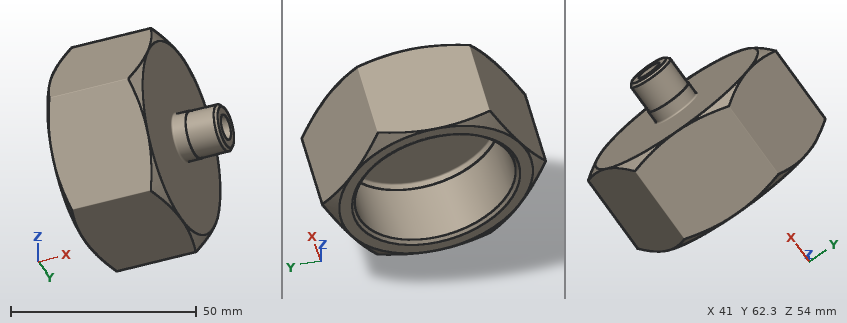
import cadquery as cq
import math

nut_length = 28.0
across_rounded_corners = 62.25
corner_rounding = 0.25
face_diameter = 53.9
corner_chamfer_angle = 30.0

thread_diameter = 44.8
relief_diameter = 45.0
relief_length = 2.0
bore_depth = 20.5
bore_mouth_diameter = 46.8
bore_mouth_angle = 45.0
bore_bottom_fillet = 0.5

collar_diameter = 13.4
collar_length = 4.0
stub_diameter = 13.15
stub_length = 13.0
stub_chamfer = 0.8
collar_root_fillet = 0.5

hole_diameter = 7.0
hole_chamfer = 0.5


def cylinder(diameter, start, length):
    """Solid cylinder on the X axis, beginning at X = start."""
    return cq.Workplane("YZ", origin=(start, 0, 0)).circle(diameter / 2).extrude(length)


def revolve_about_x(profile):
    """Revolve a closed (x, radius) outline about the X axis."""
    return cq.Workplane("XY").polyline(profile).close().revolve(360, (0, 0, 0), (1, 0, 0))


def hex_body():
    """Hexagon with corners on +/-Y, long edges rounded and both ends chamfered."""
    lost_at_corner = corner_rounding * (1 / math.cos(math.pi / 6) - 1)
    sharp_corner_diameter = across_rounded_corners + 2 * lost_at_corner
    hexagon = cq.Workplane("YZ").polygon(6, sharp_corner_diameter).extrude(nut_length)
    hexagon = hexagon.edges("|X").fillet(corner_rounding)

    corner_radius = sharp_corner_diameter / 2
    face_radius = face_diameter / 2
    chamfer_length = (corner_radius - face_radius) * math.tan(math.radians(corner_chamfer_angle))
    envelope = revolve_about_x([
        (0, 0),
        (0, face_radius),
        (chamfer_length, corner_radius),
        (nut_length - chamfer_length, corner_radius),
        (nut_length, face_radius),
        (nut_length, 0),
    ])
    return hexagon.intersect(envelope)


def bore():
    """Blind bore with a chamfered mouth and a rounded relief at the bottom."""
    thread_radius = thread_diameter / 2
    mouth_radius = bore_mouth_diameter / 2
    mouth_depth = (mouth_radius - thread_radius) / math.tan(math.radians(bore_mouth_angle))
    thread = revolve_about_x([
        (0, 0),
        (0, mouth_radius),
        (mouth_depth, thread_radius),
        (bore_depth - relief_length, thread_radius),
        (bore_depth - relief_length, 0),
    ])
    relief = cylinder(relief_diameter, bore_depth - relief_length, relief_length)
    relief = relief.faces(">X").edges().fillet(bore_bottom_fillet)
    return thread.union(relief)


def stub():
    """Stepped stub with a chamfered tip."""
    collar = cylinder(collar_diameter, nut_length, collar_length)
    pin = cylinder(stub_diameter, nut_length, stub_length)
    pin = pin.faces(">X").edges().chamfer(stub_chamfer)
    return collar.union(pin)


def collar_root():
    """Ring with a concave quarter-round that blends the collar into the nut face."""
    collar_radius = collar_diameter / 2
    rounding = collar_root_fillet
    arc_inset = rounding * (1 - math.sqrt(0.5))
    profile = (
        cq.Workplane("XY")
        .moveTo(nut_length, 0)
        .lineTo(nut_length, collar_radius + rounding)
        .threePointArc(
            (nut_length + arc_inset, collar_radius + arc_inset),
            (nut_length + rounding, collar_radius),
        )
        .lineTo(nut_length + rounding, 0)
        .close()
    )
    return profile.revolve(360, (0, 0, 0), (1, 0, 0))


def through_hole():
    """Hole through the floor and stub, chamfered where it meets the bore floor."""
    hole_radius = hole_diameter / 2
    return revolve_about_x([
        (bore_depth, 0),
        (bore_depth, hole_radius + hole_chamfer),
        (bore_depth + hole_chamfer, hole_radius),
        (nut_length + stub_length, hole_radius),
        (nut_length + stub_length, 0),
    ])


result = hex_body().union(stub()).union(collar_root()).cut(bore()).cut(through_hole())